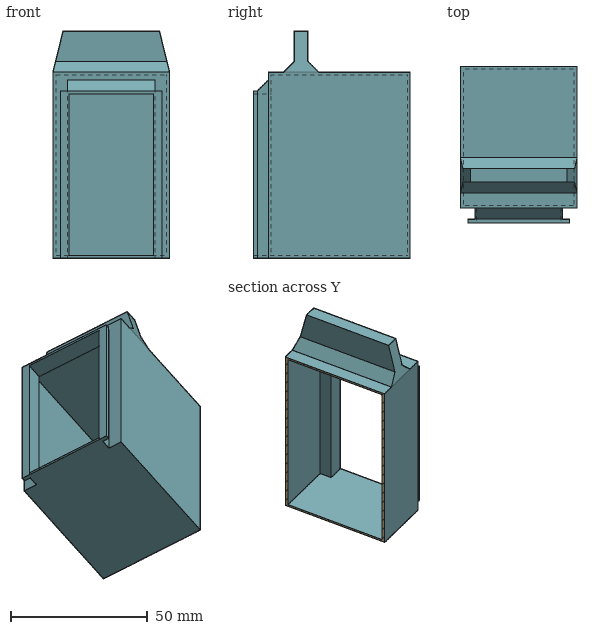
import cadquery as cq

body_width = 42.7
body_depth = 51.8
body_height = 68.0
wall = 1.0
side_wall = 1.25

neck_width = 31.95
neck_length = 4.0
flange_width = 37.1
flange_thickness = 1.5
flange_height = 61.2
neck_height = flange_height + neck_length

opening_width = 30.8
opening_top = 60.1

total_height = 83
fin_top_width = 35.3
fin_thickness = 5
fin_setback = 5.5
foot_run = 4.0
foot_height = 4.0
foot_depth = fin_thickness + 2 * foot_run


def block(width, y_front, y_back, z_bottom, z_top):
    """Box centred on X = 0 between the given Y and Z limits."""
    return (
        cq.Workplane("XY")
        .box(width, y_back - y_front, z_top - z_bottom, centered=(True, False, False))
        .translate((0, y_front, z_bottom))
    )


def extrude_across(points, width):
    """Extrude a (Y, Z) outline along X, centred on X = 0."""
    return cq.Workplane("YZ").polyline(points).close().extrude(width / 2, both=True)


def make_neck():
    return extrude_across(
        [(-neck_length, 0), (0, 0), (0, neck_height), (-neck_length, flange_height)],
        neck_width,
    )


def make_fin():
    front = fin_setback
    back = front + foot_depth
    foot_top = body_height + foot_height
    profile = extrude_across(
        [
            (front, body_height),
            (front + foot_run, foot_top),
            (front + foot_run, total_height),
            (back - foot_run, total_height),
            (back - foot_run, foot_top),
            (back, body_height),
        ],
        body_width,
    )
    taper = (
        cq.Workplane("XZ")
        .polyline(
            [
                (-body_width / 2, body_height),
                (body_width / 2, body_height),
                (fin_top_width / 2, total_height),
                (-fin_top_width / 2, total_height),
            ]
        )
        .close()
        .extrude(-back)
    )
    return profile.intersect(taper)


flange_front = -neck_length - flange_thickness
body = block(body_width, 0, body_depth, 0, body_height)
flange = block(flange_width, flange_front, -neck_length, 0, flange_height)
cavity = block(body_width - 2 * side_wall, wall, body_depth - wall, wall, body_height - wall)
opening = block(opening_width, flange_front, wall, wall, opening_top)

result = body.union(make_neck()).union(flange).union(make_fin()).cut(cavity).cut(opening)